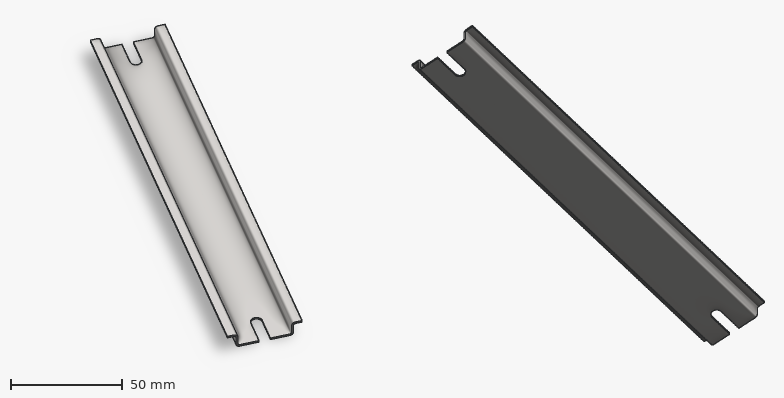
import cadquery as cq

length = 205.0
width = 35.0
height = 7.5
sheet = 1.0

channel_width = 27.0
inner_bend_radius = 0.8
outer_bend_radius = inner_bend_radius + sheet

slot_width = 5.3
slot_depth = 15.0


def box(size_x, size_y, size_z, bottom):
    """Box centred on X and Y with its underside at the given height."""
    return cq.Workplane("XY").box(size_x, size_y, size_z, centered=(True, True, False)).translate((0, 0, bottom))


def make_rail():
    """Bent-sheet rail: a channel with a flange turned outward on each side."""
    channel_inside = channel_width - 2 * sheet
    channel = box(length, channel_width, height, 0)
    flanges = box(length, width, sheet, height - sheet)
    cavity = box(length, channel_inside, height, sheet)
    rail = channel.union(flanges).cut(cavity)

    inner_half = channel_inside / 2
    outer_half = channel_width / 2
    bends = (
        (outer_half, 0, outer_bend_radius),
        (inner_half, sheet, inner_bend_radius),
        (outer_half, height - sheet, inner_bend_radius),
        (inner_half, height, outer_bend_radius),
    )
    for y, z, radius in bends:
        for side in (-1, 1):
            edge = cq.selectors.NearestToPointSelector((0, side * y, z))
            rail = rail.edges("|X").edges(edge).fillet(radius)
    return rail


def make_slot(end):
    """Cutter for a slot open at one end of the rail, with a round inner end."""
    return (
        cq.Workplane("XY")
        .center(end * length / 2, 0)
        .slot2D(2 * slot_depth, slot_width)
        .extrude(height)
    )


result = make_rail()
for end in (-1, 1):
    result = result.cut(make_slot(end))